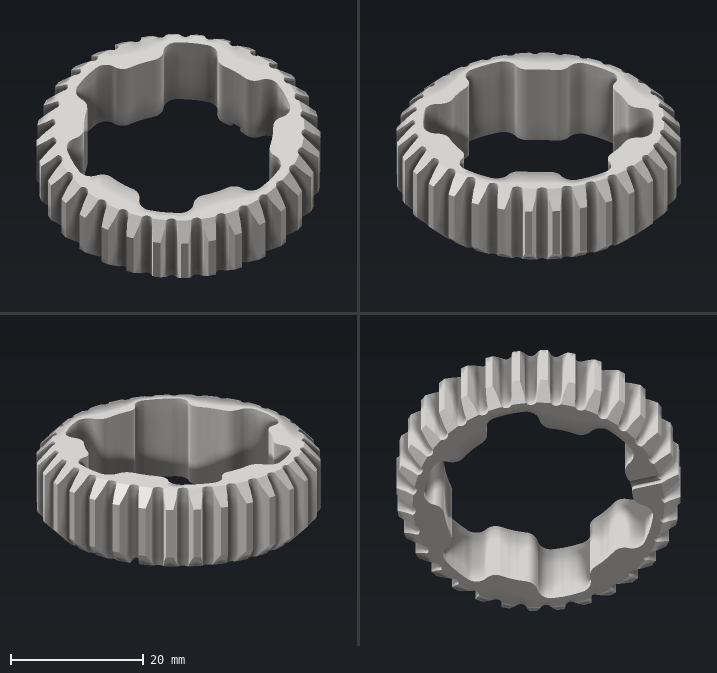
import cadquery as cq
import math

outer_size = 42.95
width = 12.7
tooth_count = 32
flank_knee_radius = 20.1
flank_base_radius = 19.35
root_radius = 18.65
tip_half_angle = 1.5
knee_thickness = 1.9
base_thickness = 2.05
tip_chamfer = 2.5

land_count = 6
bore_radius = 17.5
land_radius = 14.35
land_half_angle = 7.8
blend_radius = 2.05

slot_angle = 90
slot_width = 1.55
slot_depth = 0.85
slot_mouth_radius = 0.5

tooth_pitch = 360 / tooth_count
land_pitch = 360 / land_count

tip_radius = outer_size / 2 / math.cos(math.radians(tooth_pitch / 2 - tip_half_angle))


def polar(radius, degrees):
    """Point at a radius and an angle from the X axis."""
    angle = math.radians(degrees)
    return (radius * math.cos(angle), radius * math.sin(angle))


def half_angle(thickness, radius):
    """Half of the angle spanned by a chord of the given length."""
    return math.degrees(math.asin(thickness / 2 / radius))


def arc_middle(center, start, end):
    """Middle of the short arc between two points about a center."""
    toward_start = start - center
    toward_middle = toward_start + (end - center)
    return center + toward_middle.normalized() * toward_start.Length


def make_gear_blank():
    """Full-width gear: two-facet flanks, arc tips and round roots, with a gap on the X axis."""
    knee_half = half_angle(knee_thickness, flank_knee_radius)
    base_half = half_angle(base_thickness, flank_base_radius)

    outline = cq.Workplane("XY").moveTo(*polar(flank_base_radius, tooth_pitch / 2 - base_half))
    for tooth in range(tooth_count):
        center = (tooth + 0.5) * tooth_pitch
        next_gap = (tooth + 1) * tooth_pitch
        next_tooth_start = center + tooth_pitch - base_half
        outline = (
            outline.lineTo(*polar(flank_knee_radius, center - knee_half))
            .lineTo(*polar(tip_radius, center - tip_half_angle))
            .threePointArc(polar(tip_radius, center), polar(tip_radius, center + tip_half_angle))
            .lineTo(*polar(flank_knee_radius, center + knee_half))
            .lineTo(*polar(flank_base_radius, center + base_half))
            .threePointArc(polar(root_radius, next_gap), polar(flank_base_radius, next_tooth_start))
        )
    return outline.close().extrude(width)


def make_chamfered_envelope():
    """Disc whose rims bevel the tooth tips at both faces."""
    return cq.Workplane("XY").circle(tip_radius).extrude(width).edges().chamfer(tip_chamfer)


def make_bore():
    """Bore volume: lands and pockets joined by equal tangent arcs that meet midway."""
    land_center_radius = land_radius + blend_radius
    pocket_center_radius = bore_radius - blend_radius
    blend_cosine = (land_center_radius**2 + pocket_center_radius**2 - (2 * blend_radius) ** 2) / (
        2 * land_center_radius * pocket_center_radius
    )
    pocket_start_angle = land_half_angle + math.degrees(math.acos(blend_cosine))

    def blend_points(land_angle, side):
        """Points from land to pocket: land arc middle, meeting point, pocket arc middle, pocket end."""
        land_end_angle = land_angle + side * land_half_angle
        pocket_angle = land_angle + side * pocket_start_angle
        land_center = cq.Vector(*polar(land_center_radius, land_end_angle))
        pocket_center = cq.Vector(*polar(pocket_center_radius, pocket_angle))
        land_end = cq.Vector(*polar(land_radius, land_end_angle))
        pocket_end = cq.Vector(*polar(bore_radius, pocket_angle))
        meeting = (land_center + pocket_center) / 2
        return (
            arc_middle(land_center, land_end, meeting),
            meeting,
            arc_middle(pocket_center, meeting, pocket_end),
            pocket_end,
        )

    outline = cq.Workplane("XY").moveTo(*polar(land_radius, land_pitch / 2 - land_half_angle))
    for land in range(land_count):
        center = (land + 0.5) * land_pitch
        next_pocket = (land + 1) * land_pitch
        next_land = center + land_pitch
        land_mid, meeting, pocket_mid, pocket_end = blend_points(center, 1)
        next_land_mid, next_meeting, next_pocket_mid, next_pocket_end = blend_points(next_land, -1)
        outline = (
            outline.threePointArc(polar(land_radius, center), polar(land_radius, center + land_half_angle))
            .threePointArc(land_mid, meeting)
            .threePointArc(pocket_mid, pocket_end)
            .threePointArc(polar(bore_radius, next_pocket), next_pocket_end)
            .threePointArc(next_pocket_mid, next_meeting)
            .threePointArc(next_land_mid, polar(land_radius, next_land - land_half_angle))
        )
    return outline.close().extrude(width)


def make_slot():
    """Radial slot through the ring wall, flared by a round at each side of its inner mouth."""
    half_width = slot_width / 2
    mouth_half_width = half_width + slot_mouth_radius
    mouth_x = math.sqrt(land_radius**2 - mouth_half_width**2)
    throat_x = mouth_x + slot_mouth_radius
    return (
        cq.Workplane("XY")
        .moveTo(mouth_x, -mouth_half_width)
        .radiusArc((throat_x, -half_width), slot_mouth_radius)
        .lineTo(tip_radius, -half_width)
        .lineTo(tip_radius, half_width)
        .lineTo(throat_x, half_width)
        .radiusArc((mouth_x, mouth_half_width), slot_mouth_radius)
        .close()
        .extrude(slot_depth)
        .rotate((0, 0, 0), (0, 0, 1), slot_angle)
    )


ring = make_gear_blank().intersect(make_chamfered_envelope())
result = ring.cut(make_bore()).cut(make_slot())